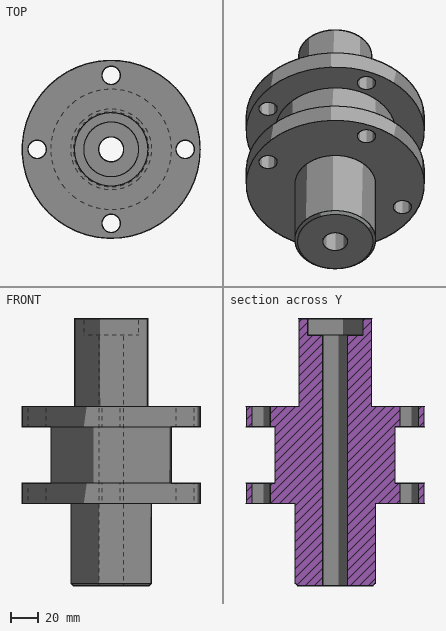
import cadquery as cq

lower_shaft_diameter = 59.0
lower_shaft_length = 60.0
lower_end_chamfer = 2.0

flange_diameter = 130.0
flange_thickness = 15.0

hub_diameter = 88.0
hub_length = 41.0

upper_shaft_diameter = 53.5
upper_shaft_length = 64.0

bore_diameter = 18.0
counterbore_diameter = 40.0
counterbore_depth = 12.0

bolt_hole_diameter = 13.2
bolt_circle_radius = 54.0
bolt_hole_count = 4

lower_flange_z = lower_shaft_length
hub_z = lower_flange_z + flange_thickness
upper_flange_z = hub_z + hub_length
upper_shaft_z = upper_flange_z + flange_thickness
top_z = upper_shaft_z + upper_shaft_length


def cylinder(diameter, bottom_z, height):
    """Solid cylinder on the spindle axis."""
    return cq.Workplane("XY").workplane(offset=bottom_z).circle(diameter / 2).extrude(height)


def spindle_body():
    """Two shafts, two flanges and the hub between the flanges."""
    lower_shaft = cylinder(lower_shaft_diameter, 0, lower_shaft_length)
    lower_shaft = lower_shaft.faces("<Z").chamfer(lower_end_chamfer)
    return (
        lower_shaft
        .union(cylinder(flange_diameter, lower_flange_z, flange_thickness))
        .union(cylinder(hub_diameter, hub_z, hub_length))
        .union(cylinder(flange_diameter, upper_flange_z, flange_thickness))
        .union(cylinder(upper_shaft_diameter, upper_shaft_z, upper_shaft_length))
    )


def axial_bore():
    """Through bore with a counterbore at the upper end."""
    counterbore = cylinder(counterbore_diameter, top_z - counterbore_depth, counterbore_depth)
    return cylinder(bore_diameter, 0, top_z).union(counterbore)


def bolt_holes():
    """Bolt holes on the X and Y axes, aligned through both flanges."""
    return (
        cq.Workplane("XY")
        .polarArray(bolt_circle_radius, 0, 360, bolt_hole_count)
        .circle(bolt_hole_diameter / 2)
        .extrude(top_z)
    )


result = spindle_body().cut(axial_bore()).cut(bolt_holes())